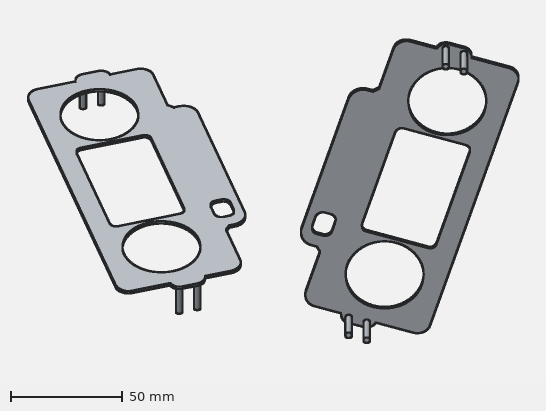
import cadquery as cq

thickness = 1.5
body_length = 144.5
body_width = 58.5
body_corner = 6.1

shoulder_length = 84.5
overall_width = 70.1
shoulder_corner = 6.8
neck_chamfer = 2.3

overall_length = 152.0
tab_width = 16.4
tab_center_y = 32.0
tab_corner = 4.5

opening_center_y = 27.4
round_diameter = 35.0
round_offset_x = 47.3
window_length = 56.3
window_width = 35.0
window_corner = 3.0
slot_length = 11.7
slot_width = 9.3
slot_corner = 3.3
slot_center_x = 30.1
slot_center_y = 61.3

pin_diameter = 3.0
overall_height = 17.2
pin_length = overall_height - thickness
pin_offset_x = 73.3
pin_spacing = 8.5


def rounded_block(length, width, corner, center_x, center_y):
    """Plate-thick block with rounded vertical edges."""
    block = cq.Workplane("XY").box(length, width, thickness, centered=(True, True, False))
    return block.edges("|Z").fillet(corner).translate((center_x, center_y, 0))


def neck_gusset(side):
    """Small triangle filling the inside corner between shoulder and body."""
    shoulder_x = side * shoulder_length / 2
    return (
        cq.Workplane("XY")
        .moveTo(shoulder_x, body_width)
        .lineTo(shoulder_x + side * neck_chamfer, body_width)
        .lineTo(shoulder_x, body_width + neck_chamfer)
        .close()
        .extrude(thickness)
    )


plate = rounded_block(body_length, body_width, body_corner, 0, body_width / 2)
plate = plate.union(
    rounded_block(shoulder_length, overall_width / 2, shoulder_corner, 0, overall_width * 3 / 4)
)
plate = plate.union(rounded_block(overall_length, tab_width, tab_corner, 0, tab_center_y))
for side in (-1, 1):
    plate = plate.union(neck_gusset(side))

plate = plate.cut(rounded_block(window_length, window_width, window_corner, 0, opening_center_y))
plate = plate.cut(rounded_block(slot_length, slot_width, slot_corner, slot_center_x, slot_center_y))
round_openings = (
    cq.Workplane("XY")
    .pushPoints([(side * round_offset_x, opening_center_y) for side in (-1, 1)])
    .circle(round_diameter / 2)
    .extrude(thickness)
)
plate = plate.cut(round_openings)

pins = (
    cq.Workplane("XY")
    .pushPoints([
        (side * pin_offset_x, tab_center_y + end * pin_spacing / 2)
        for side in (-1, 1)
        for end in (-1, 1)
    ])
    .circle(pin_diameter / 2)
    .extrude(-pin_length)
)

result = plate.union(pins)